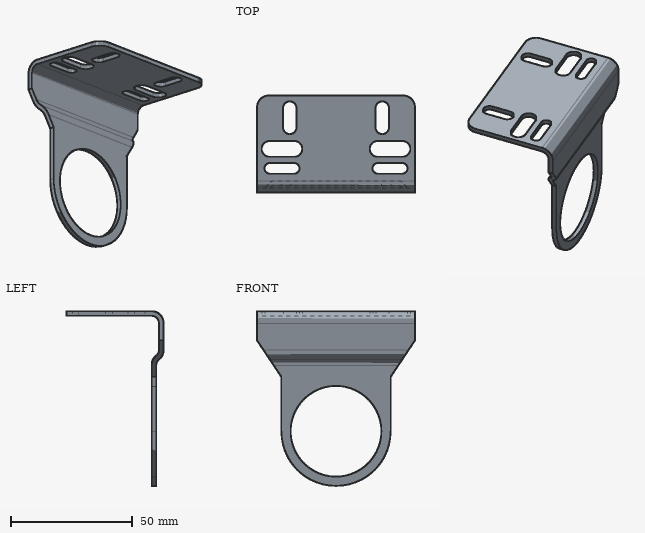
import cadquery as cq
import math


thickness = 2.0
width = 65.0
flange_depth = 40.0
flange_corner_radius = 5.0

inner_radius = 3.0
outer_radius = inner_radius + thickness

joggle_offset = 3.0
joggle_top = -16.0
radius_sum = inner_radius + outer_radius
joggle_angle = math.acos(1 - joggle_offset / radius_sum)
joggle_bottom = joggle_top - radius_sum * math.sin(joggle_angle)

ring_outer_radius = 22.5
ring_hole_diameter = 37.2
ring_center_z = -49.4
bottom_z = ring_center_z - ring_outer_radius
taper_top = -12.0
taper_bottom = -27.0

slots = [
    (19.0, 30.8, 8.0, 5.4, 90),
    (22.2, 18.0, 10.2, 6.4, 0),
    (22.2, 10.0, 10.0, 4.3, 0),
]


def point_on_arc(center, radius, angle):
    """Point at an angle (radians) measured from +Y towards +Z."""
    return (center[0] + radius * math.cos(angle), center[1] + radius * math.sin(angle))


def bent_sheet():
    """Side profile of the bent sheet, extruded over the full width."""
    bend_center = (outer_radius, -outer_radius)
    upper_center = (outer_radius, joggle_top)
    lower_center = (joggle_offset - inner_radius, joggle_bottom)

    bend_middle = math.radians(135)
    upper_middle = math.pi + joggle_angle / 2
    upper_end = math.pi + joggle_angle
    lower_middle = joggle_angle / 2
    lower_start = joggle_angle

    profile = (
        cq.Workplane("YZ")
        .moveTo(flange_depth, 0)
        .lineTo(outer_radius, 0)
        .threePointArc(point_on_arc(bend_center, outer_radius, bend_middle), (0, -outer_radius))
        .lineTo(0, joggle_top)
        .threePointArc(
            point_on_arc(upper_center, outer_radius, upper_middle),
            point_on_arc(upper_center, outer_radius, upper_end),
        )
        .threePointArc(
            point_on_arc(lower_center, inner_radius, lower_middle),
            (joggle_offset, joggle_bottom),
        )
        .lineTo(joggle_offset, bottom_z)
        .lineTo(joggle_offset + thickness, bottom_z)
        .lineTo(joggle_offset + thickness, joggle_bottom)
        .threePointArc(
            point_on_arc(lower_center, outer_radius, lower_middle),
            point_on_arc(lower_center, outer_radius, lower_start),
        )
        .threePointArc(
            point_on_arc(upper_center, inner_radius, upper_middle),
            (thickness, joggle_top),
        )
        .lineTo(thickness, -outer_radius)
        .threePointArc(point_on_arc(bend_center, inner_radius, bend_middle), (outer_radius, -thickness))
        .lineTo(flange_depth, -thickness)
        .close()
    )
    return profile.extrude(width / 2, both=True)


def front_outline():
    """Block with the front outline: full width on top, tapering to the round ring."""
    half_width = width / 2
    return (
        cq.Workplane("XZ")
        .moveTo(-half_width, 0)
        .lineTo(half_width, 0)
        .lineTo(half_width, taper_top)
        .lineTo(ring_outer_radius, taper_bottom)
        .lineTo(ring_outer_radius, ring_center_z)
        .threePointArc((0, bottom_z), (-ring_outer_radius, ring_center_z))
        .lineTo(-ring_outer_radius, taper_bottom)
        .lineTo(-half_width, taper_top)
        .close()
        .extrude(-flange_depth)
    )


def ring_hole():
    """Cutter for the round hole through the lower web."""
    return (
        cq.Workplane("XZ")
        .center(0, ring_center_z)
        .circle(ring_hole_diameter / 2)
        .extrude(-flange_depth)
    )


def slot_cutter(x, y, center_distance, slot_width, angle):
    """Cutter for one round-ended slot through the flange."""
    return (
        cq.Workplane("XY")
        .center(x, y)
        .slot2D(center_distance + slot_width, slot_width, angle)
        .extrude(-thickness)
    )


bracket = bent_sheet().intersect(front_outline())
bracket = bracket.edges("|Z and >Y").fillet(flange_corner_radius)
bracket = bracket.cut(ring_hole())

for slot_x, slot_y, center_distance, slot_width, angle in slots:
    for side in (-1, 1):
        bracket = bracket.cut(slot_cutter(side * slot_x, slot_y, center_distance, slot_width, angle))

result = bracket